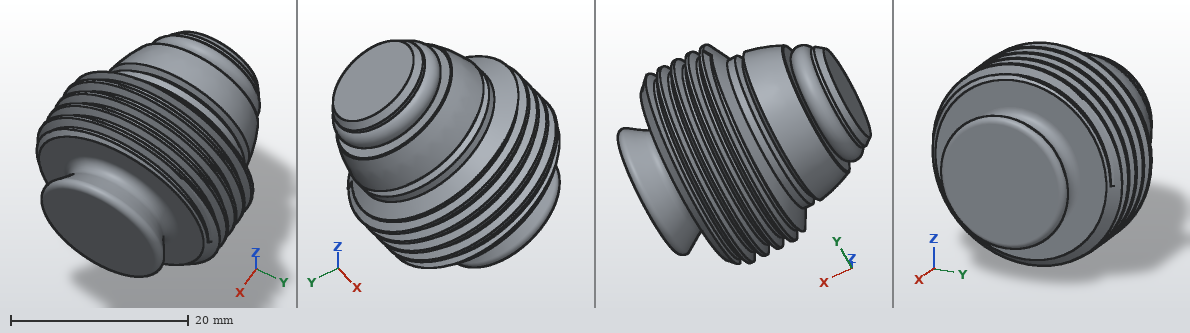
import cadquery as cq
import math

length = 25.45

nose_end_radius = 5.63
nose_radius = 6.3
nose_chamfer_end = 0.87
groove_start = 1.27
groove_end = 3.95

ring_thickness_radius = 1.3
ring_outer_radius = 7.23
ring_center_x = 2.6
ring_center_radius = ring_outer_radius - ring_thickness_radius
groove_floor_radius = ring_center_radius - ring_thickness_radius

bulge_face_radius = 7.92
bulge_start = 4.02
bulge_start_radius = 8.07
bulge_end = 8.25
bulge_height = 0.15
collar_radius = 9.42
notch_width = 1.07
notch_depth = 0.76
collar_end = 10.34

thread_diameter = 24.31
thread_radius = thread_diameter / 2
thread_end = 20.67
thread_end_radius = 10.85
front_cone_angle = 60.0
end_chamfer_angle = 45.0

thread_advance = 9.1
turns = 5
pitch = thread_advance / turns
thread_root_radius = 11.18
root_width = 0.4
flank_angle = 27.5
thread_start = 11.3
cutter_overshoot = 0.13

neck_radius = 6.42
neck_fillet = 1.15
lip_radius = 7.97
lip_round = 0.71


def point_on_circle(center, radius, angle):
    """Point (x, r) on a circle, angle in radians."""
    return (center[0] + radius * math.cos(angle), center[1] + radius * math.sin(angle))


def make_plug_blank():
    front_cone_length = (thread_radius - collar_radius) / math.tan(math.radians(front_cone_angle))
    end_chamfer_length = (thread_radius - thread_end_radius) / math.tan(math.radians(end_chamfer_angle))
    bulge_middle = (
        (bulge_start + bulge_end) / 2,
        (bulge_start_radius + collar_radius) / 2 + bulge_height,
    )

    neck_center = (thread_end + neck_fillet, neck_radius + neck_fillet)
    lip_center = (length - lip_round, lip_radius - lip_round)
    dx = lip_center[0] - neck_center[0]
    dr = lip_center[1] - neck_center[1]
    tangent_angle = math.atan2(dr, dx) + math.asin((neck_fillet + lip_round) / math.hypot(dx, dr))
    neck_tangent_angle = tangent_angle - math.pi / 2
    lip_tangent_angle = tangent_angle + math.pi / 2

    profile = (
        cq.Workplane("XY")
        .moveTo(0, 0)
        .lineTo(0, nose_end_radius)
        .lineTo(nose_chamfer_end, nose_radius)
        .lineTo(groove_start, nose_radius)
        .lineTo(groove_start, groove_floor_radius)
        .lineTo(groove_end, groove_floor_radius)
        .lineTo(groove_end, bulge_face_radius)
        .lineTo(bulge_start, bulge_start_radius)
        .threePointArc(bulge_middle, (bulge_end, collar_radius))
        .lineTo(bulge_end + notch_width / 2, collar_radius - notch_depth)
        .lineTo(bulge_end + notch_width, collar_radius)
        .lineTo(collar_end, collar_radius)
        .lineTo(collar_end + front_cone_length, thread_radius)
        .lineTo(thread_end - end_chamfer_length, thread_radius)
        .lineTo(thread_end, thread_end_radius)
        .lineTo(thread_end, neck_center[1])
        .threePointArc(
            point_on_circle(neck_center, neck_fillet, (neck_tangent_angle - math.pi) / 2),
            point_on_circle(neck_center, neck_fillet, neck_tangent_angle),
        )
        .lineTo(*point_on_circle(lip_center, lip_round, lip_tangent_angle))
        .threePointArc(
            point_on_circle(lip_center, lip_round, lip_tangent_angle / 2),
            (length, lip_center[1]),
        )
        .lineTo(length, 0)
        .close()
    )
    return profile.revolve(360, (0, 0, 0), (1, 0, 0)).rotate((0, 0, 0), (1, 0, 0), 180)


def make_thread_cutter():
    """Trapezoid swept along a left-hand helix, built along Z and then laid along X."""
    cutter_radius = thread_radius + cutter_overshoot
    cutter_height = cutter_radius - thread_root_radius
    root_half = root_width / 2
    mouth_half = root_half + cutter_height * math.tan(math.radians(flank_angle))
    helix = cq.Wire.makeHelix(pitch, thread_advance, thread_root_radius, lefthand=True)
    cutter = (
        cq.Workplane("XZ")
        .polyline([
            (thread_root_radius, -root_half),
            (thread_root_radius, root_half),
            (cutter_radius, mouth_half),
            (cutter_radius, -mouth_half),
        ])
        .close()
        .sweep(cq.Workplane(obj=helix), isFrenet=True)
    )
    along_x = cutter.rotate((0, 0, 0), (0, 1, 0), 90)
    starting_at_plus_y = along_x.rotate((0, 0, 0), (1, 0, 0), 90)
    return starting_at_plus_y.translate((thread_start, 0, 0))


def make_seal_ring():
    return (
        cq.Workplane("XY")
        .center(ring_center_x, ring_center_radius)
        .circle(ring_thickness_radius)
        .revolve(360, (0, -ring_center_radius, 0), (1, -ring_center_radius, 0))
    )


plug = make_plug_blank().cut(make_thread_cutter())
seal_ring = make_seal_ring()

result = cq.Compound.makeCompound([plug.val(), seal_ring.val()])